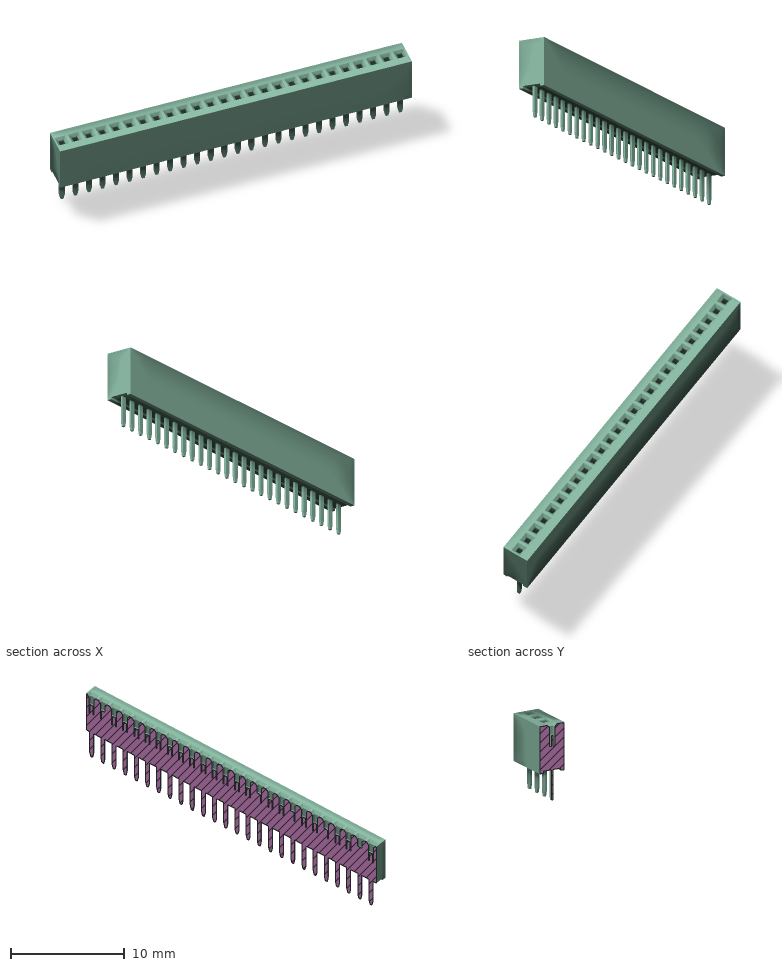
import cadquery as cq

pin_count = 26
pitch = 1.27
body_width = 2.54
body_length = pin_count * pitch
total_height = 7.0
body_height = 4.4
tail_length = total_height - body_height

channel_width = 1.7
channel_depth = 0.2

socket_mouth = 1.0
bore_size = 0.5
funnel_depth = (socket_mouth - bore_size) / 2
bore_depth = 2.0

contact_thickness = 0.2
blade_width = 0.4
blade_height = 1.0
tail_width = 0.5
tip_width = 0.25
tip_length = 0.5

contact_positions = [(0, (i - (pin_count - 1) / 2) * pitch) for i in range(pin_count)]


def make_body():
    """Rectangular block with the underside channel running its full length."""
    body = cq.Workplane("XY").box(body_width, body_length, body_height, centered=(True, True, False))
    channel = cq.Workplane("XY").box(channel_width, body_length, channel_depth, centered=(True, True, False))
    return body.cut(channel)


def make_socket():
    """Solid to be removed for one socket, with its mouth on the top face."""
    funnel = (
        cq.Workplane("XY", origin=(0, 0, body_height))
        .rect(socket_mouth, socket_mouth)
        .workplane(offset=-funnel_depth)
        .rect(bore_size, bore_size)
        .loft(ruled=True)
    )
    bore = cq.Workplane("XY", origin=(0, 0, body_height - bore_depth)).box(
        bore_size, bore_size, bore_depth, centered=(True, True, False)
    )
    return funnel.union(bore)


def make_tail():
    """One contact tail, from the channel ceiling down to its tapered tip."""
    shoulder_z = tip_length - tail_length
    return (
        cq.Workplane("YZ")
        .moveTo(-tail_width / 2, channel_depth)
        .lineTo(-tail_width / 2, shoulder_z)
        .lineTo(-tip_width / 2, -tail_length)
        .lineTo(tip_width / 2, -tail_length)
        .lineTo(tail_width / 2, shoulder_z)
        .lineTo(tail_width / 2, channel_depth)
        .close()
        .extrude(contact_thickness / 2, both=True)
    )


def make_blade():
    """Part of the contact that rises from the bore floor, clear of the bore walls."""
    return cq.Workplane("XY", origin=(0, 0, body_height - bore_depth)).box(
        contact_thickness, blade_width, blade_height, centered=(True, True, False)
    )


def at_contacts(shape):
    """Copies of a shape at every contact position."""
    return (
        cq.Workplane("XY")
        .pushPoints(contact_positions)
        .eachpoint(lambda place: shape.val().moved(place))
    )


housing = make_body().cut(at_contacts(make_socket().cut(make_blade())))
result = housing.union(at_contacts(make_tail()))